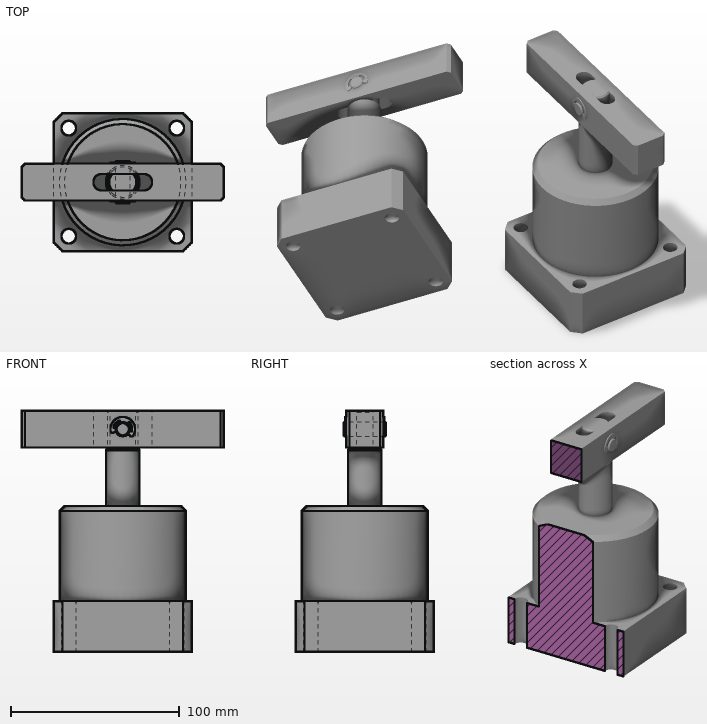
import cadquery as cq
import math

FLANGE_SIDE = 82.0
FLANGE_HEIGHT = 30.0
FLANGE_CORNER_CHAMFER = 5.3
MOUNT_HOLE_DIAMETER = 8.6
MOUNT_HOLE_SPACING = 64.0
BODY_DIAMETER = 75.0
BODY_TOP_CHAMFER = 3.0
HOUSING_HEIGHT = 86.5

OVERALL_HEIGHT = 143.0
ARM_LENGTH = 120.0
ARM_SIDE = 22.0
ARM_CORNER_CHAMFER = 2.0
SLOT_LENGTH = 34.9
SLOT_WIDTH = 9.7
ARM_BOTTOM = OVERALL_HEIGHT - ARM_SIDE
ARM_MIDDLE = OVERALL_HEIGHT - ARM_SIDE / 2

ROD_DIAMETER = 20.0
ROD_CHAMFER = 1.0
SHOULDER_GAP = 0.6
TONGUE_DIAMETER = ROD_DIAMETER - 2 * ROD_CHAMFER
TONGUE_CHAMFER = 1.0
SHOULDER_HEIGHT = ARM_BOTTOM - SHOULDER_GAP

CLIP_THICKNESS = 0.6
CLIP_OUTER_RADIUS = 7.3
CLIP_INNER_RADIUS = 3.5
CLIP_TIP_RADIUS = 1.0
CLIP_WINDOW_RADIUS = 5.6
CLIP_AXIS_ANGLE = 79.0
CLIP_HALF_SPAN = 121.0
CLIP_WINDOW_ANGLES = (31.0, 92.0)
CLIP_STARTS = (-ARM_SIDE / 2 - CLIP_THICKNESS, ARM_SIDE / 2)

PIN_DIAMETER = 8.5
PIN_LENGTH = 25.0
PIN_CHAMFER = 0.6


def cylinder_along_y(radius, start, length):
    """Cylinder on the pin axis, running from `start` towards +Y."""
    return cq.Workplane(cq.Solid.makeCylinder(
        radius, length, cq.Vector(0, start, ARM_MIDDLE), cq.Vector(0, 1, 0)))


def make_housing():
    flange = (
        cq.Workplane("XY")
        .box(FLANGE_SIDE, FLANGE_SIDE, FLANGE_HEIGHT, centered=(True, True, False))
        .edges("|Z").chamfer(FLANGE_CORNER_CHAMFER)
    )
    body = (
        cq.Workplane("XY")
        .circle(BODY_DIAMETER / 2).extrude(HOUSING_HEIGHT)
        .faces(">Z").chamfer(BODY_TOP_CHAMFER)
    )
    mount_holes = (
        cq.Workplane("XY")
        .rect(MOUNT_HOLE_SPACING, MOUNT_HOLE_SPACING, forConstruction=True).vertices()
        .circle(MOUNT_HOLE_DIAMETER / 2).extrude(FLANGE_HEIGHT)
    )
    return flange.union(body).cut(mount_holes)


def make_pin_hole():
    return cylinder_along_y(PIN_DIAMETER / 2, -ARM_SIDE / 2, ARM_SIDE)


def make_rod():
    shaft = (
        cq.Workplane("XY").workplane(offset=HOUSING_HEIGHT)
        .circle(ROD_DIAMETER / 2).extrude(SHOULDER_HEIGHT - HOUSING_HEIGHT)
        .faces(">Z").chamfer(ROD_CHAMFER)
    )
    tongue_height = OVERALL_HEIGHT - SHOULDER_HEIGHT
    tongue_plane = cq.Workplane("XY").workplane(offset=SHOULDER_HEIGHT)
    tongue = (
        tongue_plane.circle(TONGUE_DIAMETER / 2).extrude(tongue_height)
        .faces(">Z").chamfer(TONGUE_CHAMFER)
        .intersect(tongue_plane.rect(TONGUE_DIAMETER, SLOT_WIDTH).extrude(tongue_height))
    )
    return shaft.union(tongue).cut(make_pin_hole())


def make_arm():
    bar_plane = cq.Workplane("XY").workplane(offset=ARM_BOTTOM)
    bar = bar_plane.rect(ARM_LENGTH, ARM_SIDE).extrude(ARM_SIDE).edges("|Z").chamfer(ARM_CORNER_CHAMFER)
    slot = bar_plane.slot2D(SLOT_LENGTH, SLOT_WIDTH).extrude(ARM_SIDE)
    return bar.cut(slot).cut(make_pin_hole())


def make_pin():
    pin = cylinder_along_y(PIN_DIAMETER / 2, -PIN_LENGTH / 2, PIN_LENGTH)
    pin = pin.faces("<Y or >Y").chamfer(PIN_CHAMFER)
    for start in CLIP_STARTS:
        groove = cylinder_along_y(PIN_DIAMETER / 2, start, CLIP_THICKNESS)
        core = cylinder_along_y(CLIP_INNER_RADIUS, start, CLIP_THICKNESS)
        pin = pin.cut(groove.cut(core))
    return pin


def make_ring_sector(inner_radius, outer_radius, first_angle, last_angle, start):
    """Part of a flat ring around the pin axis, between two angles from the clip's closed side."""
    def point(radius, angle):
        direction = math.radians(CLIP_AXIS_ANGLE + angle)
        return (radius * math.cos(direction), radius * math.sin(direction))

    middle_angle = (first_angle + last_angle) / 2
    return (
        cq.Workplane("XZ", origin=(0, start, ARM_MIDDLE))
        .moveTo(*point(inner_radius, first_angle))
        .lineTo(*point(outer_radius, first_angle))
        .threePointArc(point(outer_radius, middle_angle), point(outer_radius, last_angle))
        .lineTo(*point(inner_radius, last_angle))
        .threePointArc(point(inner_radius, middle_angle), point(inner_radius, first_angle))
        .close()
        .extrude(-CLIP_THICKNESS)
    )


def make_clip(start):
    clip = make_ring_sector(CLIP_INNER_RADIUS, CLIP_OUTER_RADIUS, -CLIP_HALF_SPAN, CLIP_HALF_SPAN, start)
    corners = clip.edges("|Y").vals()
    corners.sort(key=lambda edge: math.hypot(edge.Center().x, edge.Center().z - ARM_MIDDLE))
    clip = clip.newObject(corners[-2:]).fillet(CLIP_TIP_RADIUS)
    window_start, window_end = CLIP_WINDOW_ANGLES
    for side in (-1, 1):
        window = make_ring_sector(
            CLIP_INNER_RADIUS, CLIP_WINDOW_RADIUS, side * window_start, side * window_end, start)
        clip = clip.cut(window)
    return clip


housing = make_housing()
rod = make_rod()
arm = make_arm()
pin = make_pin()
clips = [make_clip(start) for start in CLIP_STARTS]

result = cq.Compound.makeCompound(
    [housing.val(), rod.val(), arm.val(), pin.val(), *[clip.val() for clip in clips]]
)